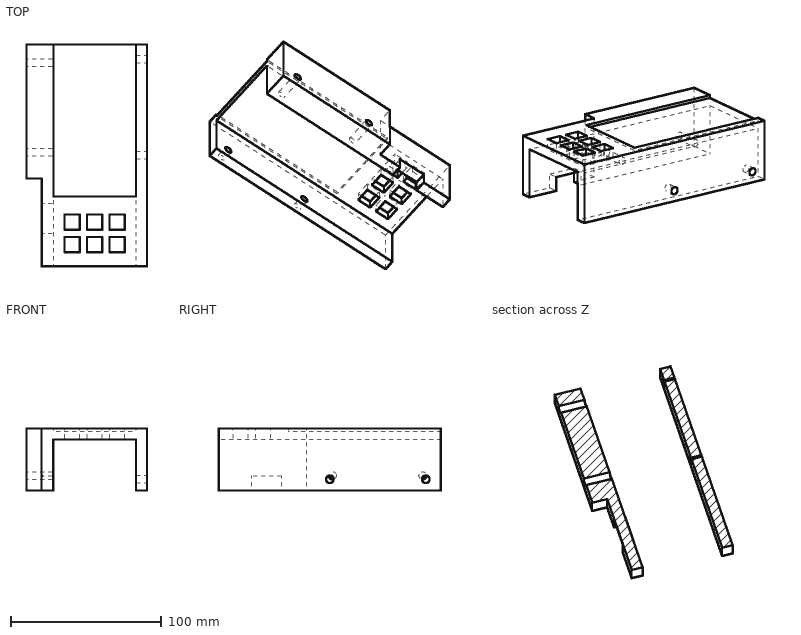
import cadquery as cq

WIDTH = 80.58
LENGTH = 148.0
HEIGHT = 41.5

WALL = 7.5
ROOF = 7.5
CHANNEL_WIDTH = 55.0
channel_right = WIDTH - WALL
channel_left = channel_right - CHANNEL_WIDTH
channel_centre = (channel_left + channel_right) / 2

STEP_DEPTH = 10.3
REAR_LENGTH = 89.5
step_length = LENGTH - REAR_LENGTH

RECESS_DEPTH = 2.0
RECESS_LENGTH = 101.5

WINDOW = 10.0
WINDOW_PITCH = 15.0
WINDOW_COLUMNS = 3
WINDOW_ROWS = 2
FRONT_MARGIN = 9.5
window_grid_y = FRONT_MARGIN + (WINDOW + (WINDOW_ROWS - 1) * WINDOW_PITCH) / 2

NOTCH_FRONT = 22.0
NOTCH_LENGTH = 20.0
NOTCH_HEIGHT = 9.7

HOLE_DIAMETER = 5.0
LEFT_HOLE_Z = 10.0
LEFT_HOLE_SETBACKS = (12.2, 72.0)
RIGHT_HOLE_Z = 7.5
RIGHT_HOLE_SETBACKS = (10.0, 74.0)


def block(x, y, z, dx, dy, dz):
    """Box with its minimum corner at (x, y, z)."""
    return cq.Workplane("XY").box(dx, dy, dz, centered=False).translate((x, y, z))


def make_body():
    """Stepped block with the channel cut from below."""
    body = block(0, 0, 0, WIDTH, LENGTH, HEIGHT)
    body = body.cut(block(0, 0, 0, STEP_DEPTH, step_length, HEIGHT))
    return body.cut(block(channel_left, 0, 0, CHANNEL_WIDTH, LENGTH, HEIGHT - ROOF))


def make_recess():
    return block(
        channel_left, LENGTH - RECESS_LENGTH, HEIGHT - RECESS_DEPTH,
        CHANNEL_WIDTH, RECESS_LENGTH, RECESS_DEPTH,
    )


def make_windows():
    return (
        cq.Workplane("XY", origin=(channel_centre, window_grid_y, HEIGHT - ROOF))
        .rarray(WINDOW_PITCH, WINDOW_PITCH, WINDOW_COLUMNS, WINDOW_ROWS)
        .rect(WINDOW, WINDOW)
        .extrude(ROOF)
    )


def make_notch():
    return block(STEP_DEPTH, NOTCH_FRONT, 0, channel_left - STEP_DEPTH, NOTCH_LENGTH, NOTCH_HEIGHT)


def make_wall_holes(wall_x, wall_thickness, hole_z, setbacks):
    """Holes along X through one side wall, placed by their distance from the back face."""
    centres = [(LENGTH - setback, hole_z) for setback in setbacks]
    return (
        cq.Workplane("YZ", origin=(wall_x, 0, 0))
        .pushPoints(centres)
        .circle(HOLE_DIAMETER / 2)
        .extrude(wall_thickness)
    )


result = (
    make_body()
    .cut(make_recess())
    .cut(make_windows())
    .cut(make_notch())
    .cut(make_wall_holes(0, channel_left, LEFT_HOLE_Z, LEFT_HOLE_SETBACKS))
    .cut(make_wall_holes(channel_right, WALL, RIGHT_HOLE_Z, RIGHT_HOLE_SETBACKS))
)